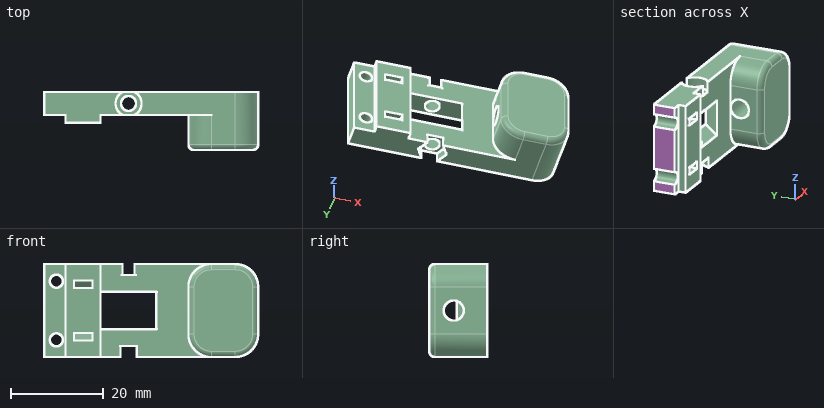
import cadquery as cq
import math

length = 46.3
height = 20.15
plate_thickness = 5.0

total_depth = 12.6
block_length = 15.15
corner_radius = 5.0
face_fillet = 1.25
block_bore_diameter = 4.3
block_bore_depth_position = 7.25

pad_start = 4.6
pad_end = 12.25
pad_rise = 1.65
tunnel_start = 6.5
tunnel_width = 3.95
tunnel_outer_radius = 6.55
tunnel_inner_radius = 4.9

window_end = 24.23
window_height = 8.05
window_wall_angle = 45
mount_hole_diameter = 2.8
mount_hole_x = 2.65
mount_hole_spacing = 12.7

screw_x = 18.25
screw_diameter = 3.2
head_diameter = 5.6
nut_corner_diameter = 6.35
seat_depth = 2.35

pad_front = -(plate_thickness + pad_rise)


def box(x_start, x_end, depth, box_height):
    """Box from the rear face forward to the given depth, centred on Z = 0."""
    return (
        cq.Workplane("XY")
        .box(x_end - x_start, depth, box_height, centered=(False, False, True))
        .translate((x_start, -depth, 0))
    )


def make_plate():
    plate = box(0, length, plate_thickness, height)
    return plate.edges("|Y and >X").fillet(corner_radius)


def make_block():
    """Rounded block standing forward from the plate's front face."""
    block = (
        box(length - block_length, length, total_depth, height)
        .edges("|Y")
        .fillet(corner_radius)
        .faces("<Y")
        .edges()
        .fillet(face_fillet)
    )
    in_front_of_plate = box(0, length, total_depth, height).cut(
        box(0, length, plate_thickness, height)
    )
    return block.intersect(in_front_of_plate)


def make_block_bore():
    return (
        cq.Workplane("YZ")
        .center(-block_bore_depth_position, 0)
        .circle(block_bore_diameter / 2)
        .extrude(length)
    )


def make_window():
    undercut = plate_thickness * math.tan(math.radians(window_wall_angle))
    return (
        cq.Workplane("XY", origin=(0, 0, -window_height / 2))
        .moveTo(pad_end, -plate_thickness)
        .lineTo(window_end, -plate_thickness)
        .lineTo(window_end + undercut, 0)
        .lineTo(pad_end, 0)
        .close()
        .extrude(window_height)
    )


def make_strap_tunnel():
    """Ring about an X axis on the pad face; its rear half joins the two slots."""
    return (
        cq.Workplane("YZ", origin=(tunnel_start, pad_front, 0))
        .circle(tunnel_outer_radius)
        .circle(tunnel_inner_radius)
        .extrude(tunnel_width)
        .intersect(box(pad_start, pad_end, -pad_front, height))
    )


def make_mount_holes():
    half_spacing = mount_hole_spacing / 2
    return (
        cq.Workplane("XZ")
        .pushPoints([(mount_hole_x, -half_spacing), (mount_hole_x, half_spacing)])
        .circle(mount_hole_diameter / 2)
        .extrude(plate_thickness)
    )


def make_screw_cut():
    axis_y = -plate_thickness / 2
    base = cq.Workplane("XY", origin=(screw_x, axis_y, -height / 2))
    seat_base = cq.Workplane("XY", origin=(screw_x, axis_y, height / 2 - seat_depth))
    hole = base.circle(screw_diameter / 2).extrude(height)
    nut_seat = base.polygon(6, nut_corner_diameter).extrude(seat_depth)
    head_seat = seat_base.circle(head_diameter / 2).extrude(seat_depth)
    return hole.union(nut_seat).union(head_seat)


result = (
    make_plate()
    .union(box(pad_start, pad_end, -pad_front, height))
    .union(make_block().cut(make_block_bore()))
    .cut(make_window())
    .cut(make_strap_tunnel())
    .cut(make_mount_holes())
    .cut(make_screw_cut())
)